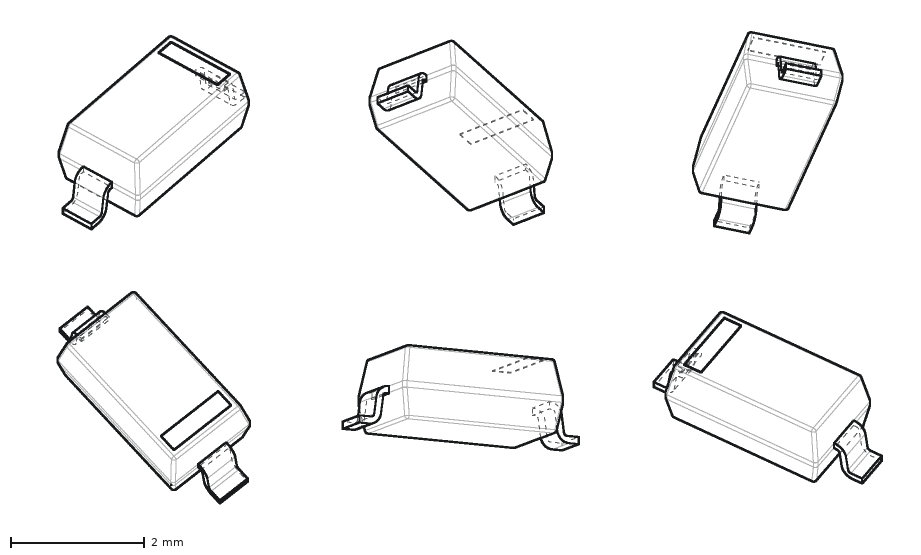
import cadquery as cq
import math

OVERALL_LENGTH = 3.7
TOP_Z = 1.18

BODY_WIDTH = 1.55
BODY_LENGTH = 2.7
BODY_BOTTOM_Z = 0.048
BELT_TOP_Z = 0.603
BELT_HEIGHT = 0.1
BELT_BOTTOM_Z = BELT_TOP_Z - BELT_HEIGHT
DRAFT_ANGLE = 10.0
EDGE_RADIUS = 0.05

BAR_WIDTH = 1.13
BAR_LENGTH = 0.3
BAR_CENTRE_Y = 0.975
BAR_DEPTH = 0.01

LEAD_WIDTH = 0.55
LEAD_THICKNESS = 0.11
FOOT_LENGTH = 0.245
INNER_BEND_RADIUS = 0.05
OUTER_BEND_RADIUS = 0.2
LEG_TILT = math.radians(8.0)
LEAD_EMBED = 0.185


def make_tapered_block(base_z, height):
    """Block narrowing away from the belt; a negative height points it down."""
    return (
        cq.Workplane("XY", origin=(0, 0, base_z))
        .rect(BODY_WIDTH, BODY_LENGTH)
        .extrude(height, taper=DRAFT_ANGLE)
    )


def make_body():
    belt = (
        cq.Workplane("XY", origin=(0, 0, BELT_BOTTOM_Z))
        .rect(BODY_WIDTH, BODY_LENGTH)
        .extrude(BELT_HEIGHT)
    )
    upper = make_tapered_block(BELT_TOP_Z, TOP_Z - BELT_TOP_Z)
    lower = make_tapered_block(BELT_BOTTOM_Z, BODY_BOTTOM_Z - BELT_BOTTOM_Z)
    body = belt.union(upper).union(lower)
    body = body.edges("not(#Z)").fillet(EDGE_RADIUS)
    return body.faces("<Z or >Z").edges().fillet(EDGE_RADIUS)


def cut_polarity_bar(body):
    bar = (
        cq.Workplane("XY", origin=(0, BAR_CENTRE_Y, TOP_Z))
        .rect(BAR_WIDTH, BAR_LENGTH)
        .extrude(-BAR_DEPTH)
    )
    return body.cut(bar)


def make_lead():
    """Lead at the -Y end: foot, tilted leg and shoulder, with rounded bends."""
    toe_y = -OVERALL_LENGTH / 2
    embedded_end_y = -BODY_LENGTH / 2 + LEAD_EMBED
    shoulder_bottom_z = BELT_TOP_Z - LEAD_THICKNESS
    leg_thickness_y = LEAD_THICKNESS / math.cos(LEG_TILT)

    def leg_outboard_y(z):
        return toe_y + FOOT_LENGTH + (z - LEAD_THICKNESS) * math.tan(LEG_TILT)

    def leg_inboard_y(z):
        return leg_outboard_y(z) + leg_thickness_y

    foot_inner = (leg_outboard_y(LEAD_THICKNESS), LEAD_THICKNESS)
    foot_outer = (leg_inboard_y(0), 0)
    shoulder_inner = (leg_inboard_y(shoulder_bottom_z), shoulder_bottom_z)
    shoulder_outer = (leg_outboard_y(BELT_TOP_Z), BELT_TOP_Z)

    outline = [
        (toe_y, 0),
        foot_outer,
        shoulder_inner,
        (embedded_end_y, shoulder_bottom_z),
        (embedded_end_y, BELT_TOP_Z),
        shoulder_outer,
        foot_inner,
        (toe_y, LEAD_THICKNESS),
    ]
    lead = cq.Workplane("YZ").polyline(outline).close().extrude(LEAD_WIDTH / 2, both=True)

    bends = [
        (foot_inner, INNER_BEND_RADIUS),
        (shoulder_inner, INNER_BEND_RADIUS),
        (foot_outer, OUTER_BEND_RADIUS),
        (shoulder_outer, OUTER_BEND_RADIUS),
    ]
    for (y, z), radius in bends:
        corner = cq.NearestToPointSelector((0, y, z))
        lead = lead.edges("|X").edges(corner).fillet(radius)
    return lead


front_lead = make_lead()
back_lead = front_lead.mirror("XZ")
result = cut_polarity_bar(make_body()).union(front_lead).union(back_lead)